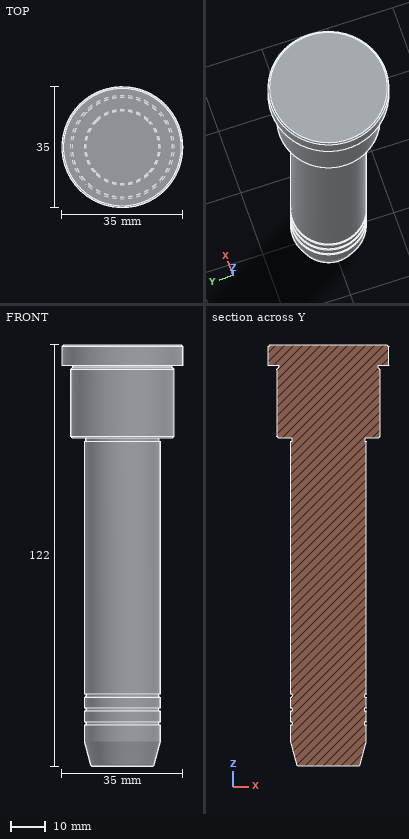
import cadquery as cq
import math

total_length = 122.0
head_diameter = 35.0
head_height = 6.0
head_bevel = 0.5

collar_radius = 15.0
collar_bottom_z = 95.0
collar_top_bevel = 0.6
collar_bottom_bevel = 0.5
collar_neck_gap = 0.5

shank_radius = 11.0
relief_depth = 0.3
relief_height = 1.0

taper_height = 7.1
taper_angle = 15.0
tip_fillet = 0.7

groove_count = 3
groove_pitch = 4.0
groove_radius = 0.5
lowest_groove_z = 12.5

head_bottom_z = total_length - head_height
tip_radius = shank_radius - taper_height * math.tan(math.radians(taper_angle))


def cylinder(radius, bottom_z, top_z):
    return cq.Workplane("XY").workplane(offset=bottom_z).circle(radius).extrude(top_z - bottom_z)


def make_head():
    return cylinder(head_diameter / 2, head_bottom_z, total_length).faces(">Z").edges().chamfer(head_bevel)


def make_collar():
    top_z = head_bottom_z - collar_neck_gap
    collar = cylinder(collar_radius, collar_bottom_z, top_z)
    collar = collar.faces(">Z").edges().chamfer(collar_top_bevel)
    collar = collar.faces("<Z").edges().chamfer(collar_bottom_bevel)
    neck = cylinder(collar_radius - collar_top_bevel, top_z, head_bottom_z)
    return collar.union(neck)


def make_shank():
    relief_z = collar_bottom_z - relief_height
    shank = cylinder(shank_radius, taper_height, relief_z)
    relief = cylinder(shank_radius - relief_depth, relief_z, collar_bottom_z)
    return shank.union(relief)


def make_tip():
    tip = (
        cq.Workplane("XZ")
        .polyline([(0, 0), (tip_radius, 0), (shank_radius, taper_height), (0, taper_height)])
        .close()
        .revolve(360, (0, 0), (0, 1))
    )
    return tip.faces("<Z").edges().fillet(tip_fillet)


def make_groove(center_z):
    """Torus centred on the shank surface, leaving a half-round groove."""
    return (
        cq.Workplane("XZ")
        .center(shank_radius, center_z)
        .circle(groove_radius)
        .revolve(360, (-shank_radius, 0), (-shank_radius, 1))
    )


result = make_head().union(make_collar()).union(make_shank()).union(make_tip())
for index in range(groove_count):
    result = result.cut(make_groove(lowest_groove_z + index * groove_pitch))